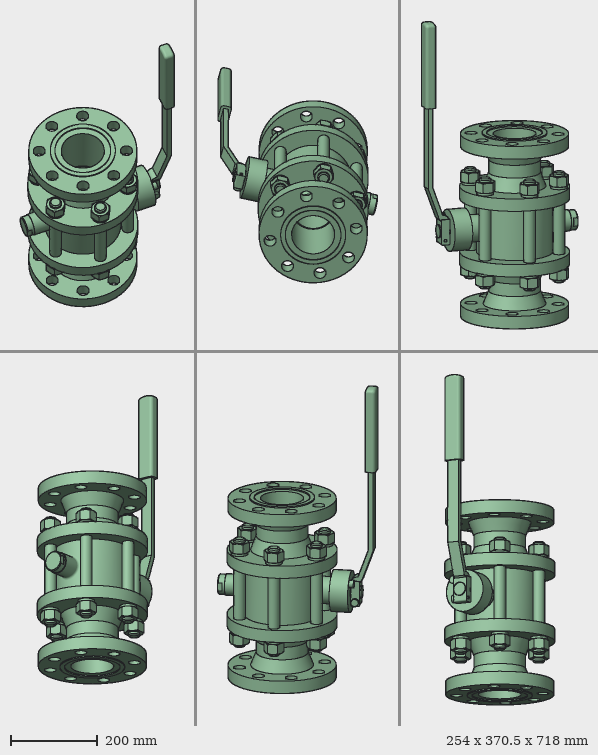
import cadquery as cq
import math


TOTAL_HEIGHT = 718.0
TOTAL_DEPTH = 370.5

FACE_HEIGHT = 220.0
RAISED_FACE = 3.0
PIPE_FLANGE_THICKNESS = 30.0
PIPE_FLANGE_DIAMETER = 250.0
RAISED_FACE_DIAMETER = 150.0
RECESS_DIAMETER = 128.5
RECESS_DEPTH = 3.0
CONE_BASE_DIAMETER = 145.0
NECK_DIAMETER = 120.0
NECK_BOTTOM = 126.0
NECK_TOP = 156.0
BODY_FLANGE_DIAMETER = 254.0
BODY_FLANGE_BOTTOM = 63.0
BODY_FLANGE_TOP = 92.5
BODY_DIAMETER = 176.5
END_BORE_DIAMETER = 99.0
BALL_BORE_DIAMETER = 95.0

BOLT_HOLE_COUNT = 8
BOLT_HOLE_DIAMETER = 27.0
BOLT_CIRCLE_RADIUS = 100.5

STUD_COUNT = 6
STUD_DIAMETER = 27.0
STUD_CIRCLE_RADIUS = 104.0
STUD_END = 131.0
STUD_CHAMFER = 3.0
WASHER_DIAMETER = 39.0
WASHER_THICKNESS = 6.0
NUT_WIDTH = 41.0
NUT_HEIGHT = 24.5
NUT_CHAMFER_ANGLE = 30.0

PLUG_DIAMETER = 50.0
PLUG_SHOULDER = 131.0
PLUG_TIP_DIAMETER = 47.5
PLUG_END = 148.0
PLUG_CHAMFER = 2.0
PLUG_FLAT_SPACING = 43.0
PLUG_FLAT_LENGTH = 11.5
BOSS_FILLET = 5.0

BONNET_DIAMETER = 98.0
BONNET_START = 119.0
BONNET_END = 162.0
BONNET_NECK_DIAMETER = 63.0
STEM_DIAMETER = 31.0
STEM_END = 187.5
STOP_PIN_DIAMETER = 18.0
STOP_PIN_X = 26.0
STOP_PIN_Z = 246.0 - FACE_HEIGHT
STOP_PIN_END = 173.0

BLOCK_WIDTH = 34.5
BLOCK_HEIGHT = 60.0
BLOCK_START = 164.0
BLOCK_END = 184.5
BLOCK_FILLET = 3.5
CLAMP_BOLT_Y = (BLOCK_START + BLOCK_END) / 2
CLAMP_BOLT_Z = -20.0
CLAMP_HOLE_DIAMETER = 6.5
CLAMP_HOLE_DEPTH = 2.0
CLAMP_HEAD_DIAMETER = 18.0
CLAMP_HEAD_HEIGHT = 6.5

GRIP_WIDTH = 42.5
GRIP_THICKNESS = 25.0
GRIP_BOTTOM = 517.0 - FACE_HEIGHT
GRIP_TOP = TOTAL_HEIGHT - FACE_HEIGHT
GRIP_CROWN = 5.0
GRIP_FILLET = 7.0
BAR_WIDTH = 29.0
BAR_THICKNESS = 11.5
BAR_Y = TOTAL_DEPTH - PLUG_END - GRIP_THICKNESS / 2
BAR_BEND_Z = 106.0
BAR_TILT = 20.0
BAR_FOOT_START = 24.5
BAR_FOOT_Z = 40.0


def y_cylinder(diameter, start, end, x=0.0, z=0.0):
    """Cylinder parallel to the stem axis, from Y = start to Y = end."""
    plane = cq.Workplane("XZ", origin=(x, start, z))
    return plane.circle(diameter / 2).extrude(start - end)


def z_cylinder(diameter, start, end):
    """Cylinder on the flow axis, from Z = start to Z = end."""
    return cq.Workplane("XY").workplane(offset=start).circle(diameter / 2).extrude(end - start)


def both_ends(upper):
    """The shape together with its mirror image below the stem axis."""
    return upper.union(upper.mirror("XY"))


def end_piece():
    """Upper half of the body with its flanges, neck, bolt holes and face recess."""
    flange_top = FACE_HEIGHT - RAISED_FACE
    flange_bottom = flange_top - PIPE_FLANGE_THICKNESS
    profile = [
        (0, 0),
        (BODY_DIAMETER / 2, 0),
        (BODY_DIAMETER / 2, BODY_FLANGE_BOTTOM),
        (BODY_FLANGE_DIAMETER / 2, BODY_FLANGE_BOTTOM),
        (BODY_FLANGE_DIAMETER / 2, BODY_FLANGE_TOP),
        (CONE_BASE_DIAMETER / 2, BODY_FLANGE_TOP),
        (NECK_DIAMETER / 2, NECK_BOTTOM),
        (NECK_DIAMETER / 2, NECK_TOP),
        (CONE_BASE_DIAMETER / 2, flange_bottom),
        (PIPE_FLANGE_DIAMETER / 2, flange_bottom),
        (PIPE_FLANGE_DIAMETER / 2, flange_top),
        (RAISED_FACE_DIAMETER / 2, flange_top),
        (RAISED_FACE_DIAMETER / 2, FACE_HEIGHT),
        (0, FACE_HEIGHT),
    ]
    piece = cq.Workplane("XZ").polyline(profile).close().revolve(360, (0, 0), (0, 1))
    bolt_holes = (
        cq.Workplane("XY")
        .workplane(offset=flange_bottom)
        .polarArray(BOLT_CIRCLE_RADIUS, 180 / BOLT_HOLE_COUNT, 360, BOLT_HOLE_COUNT)
        .circle(BOLT_HOLE_DIAMETER / 2)
        .extrude(PIPE_FLANGE_THICKNESS)
    )
    recess = z_cylinder(RECESS_DIAMETER, FACE_HEIGHT - RECESS_DEPTH, FACE_HEIGHT)
    return piece.cut(bolt_holes).cut(recess)


def nut():
    """Hexagonal nut with its base at Z = 0, flats facing X and rounded corners on both ends."""
    corner_radius = NUT_WIDTH / math.sqrt(3)
    flat_radius = NUT_WIDTH / 2
    drop = (corner_radius - flat_radius) * math.tan(math.radians(NUT_CHAMFER_ANGLE))
    hexagon = (
        cq.Workplane("XY")
        .polygon(6, 2 * corner_radius)
        .extrude(NUT_HEIGHT)
        .rotate((0, 0, 0), (0, 0, 1), 30)
    )
    envelope_profile = [
        (0, 0),
        (flat_radius, 0),
        (corner_radius, drop),
        (corner_radius, NUT_HEIGHT - drop),
        (flat_radius, NUT_HEIGHT),
        (0, NUT_HEIGHT),
    ]
    envelope = cq.Workplane("XZ").polyline(envelope_profile).close().revolve(360, (0, 0), (0, 1))
    return hexagon.intersect(envelope)


def upper_half_stud():
    """Upper half of a stud with its washer and nut, centred on the Z axis."""
    nut_base = BODY_FLANGE_TOP + WASHER_THICKNESS
    stud = z_cylinder(STUD_DIAMETER, 0, STUD_END).faces(">Z").chamfer(STUD_CHAMFER)
    washer = z_cylinder(WASHER_DIAMETER, BODY_FLANGE_TOP, nut_base)
    return stud.union(washer).union(nut().translate((0, 0, nut_base)))


def stud_positions():
    angles = [math.radians(360 / STUD_COUNT * i) for i in range(STUD_COUNT)]
    return [(STUD_CIRCLE_RADIUS * math.cos(a), STUD_CIRCLE_RADIUS * math.sin(a), 0) for a in angles]


def add_plug_boss(body):
    """Join the plain part of the plug to the body, with a fillet where the two cylinders meet."""
    joined = body.union(y_cylinder(PLUG_DIAMETER, 0, -PLUG_SHOULDER))
    reach = PLUG_DIAMETER / 2 + BOSS_FILLET
    root = cq.selectors.BoxSelector(
        (-reach, -BODY_DIAMETER / 2 - BOSS_FILLET, -reach), (reach, -PLUG_DIAMETER, reach), True
    )
    return joined.edges(root).fillet(BOSS_FILLET)


def plug_tip():
    """Chamfered end of the plug with two flats facing X."""
    tip = y_cylinder(PLUG_TIP_DIAMETER, 0, -PLUG_END).faces("<Y").chamfer(PLUG_CHAMFER)
    flat_block = cq.Workplane("XY").box(PLUG_FLAT_SPACING, 2 * PLUG_FLAT_LENGTH, PLUG_DIAMETER)
    flat_end = tip.intersect(flat_block.translate((0, -PLUG_END, 0)))
    round_part = tip.intersect(y_cylinder(PLUG_DIAMETER, 0, PLUG_FLAT_LENGTH - PLUG_END))
    return round_part.union(flat_end)


def bonnet():
    """Stem housing with its neck, the stem and the handle stop pin."""
    neck = y_cylinder(BONNET_NECK_DIAMETER, 0, BONNET_START)
    housing = y_cylinder(BONNET_DIAMETER, BONNET_START, BONNET_END)
    stem = y_cylinder(STEM_DIAMETER, BONNET_START, STEM_END)
    stop_pin = y_cylinder(STOP_PIN_DIAMETER, BONNET_START, STOP_PIN_END, STOP_PIN_X, STOP_PIN_Z)
    return neck.union(housing).union(stem).union(stop_pin)


def clamp_block():
    """Block that holds the handle on the stem, with a bolt recess at -X and a bolt head at +X."""
    depth = BLOCK_END - BLOCK_START
    block = cq.Workplane("XY").box(BLOCK_WIDTH, depth, BLOCK_HEIGHT)
    block = block.edges("|X and <Z").fillet(BLOCK_FILLET).translate((0, CLAMP_BOLT_Y, 0))
    bolt_plane = cq.Workplane("YZ", origin=(0, CLAMP_BOLT_Y, CLAMP_BOLT_Z))
    hole_plane = bolt_plane.workplane(offset=-BLOCK_WIDTH / 2)
    hole = hole_plane.circle(CLAMP_HOLE_DIAMETER / 2).extrude(CLAMP_HOLE_DEPTH)
    head_plane = bolt_plane.workplane(offset=BLOCK_WIDTH / 2)
    head = head_plane.circle(CLAMP_HEAD_DIAMETER / 2).extrude(CLAMP_HEAD_HEIGHT)
    return block.cut(hole).union(head)


def bar():
    """Flat bar: upright along the grip, then tilted in to a rounded foot on the clamp block."""
    tilt = math.tan(math.radians(BAR_TILT))
    half = BAR_THICKNESS / 2
    bend_shift = half * math.tan(math.radians(BAR_TILT / 2))
    outer_y = BAR_Y + half
    inner_y = BAR_Y - half
    outer_bend_z = BAR_BEND_Z - bend_shift
    inner_bend_z = BAR_BEND_Z + bend_shift
    block_top = BLOCK_HEIGHT / 2
    outer_end_y = outer_y - (outer_bend_z - block_top) * tilt
    inner_end_y = inner_y - (inner_bend_z - BAR_FOOT_Z) * tilt
    outline = (
        cq.Workplane("YZ", origin=(-BAR_WIDTH / 2, 0, 0))
        .moveTo(outer_y, GRIP_BOTTOM)
        .lineTo(outer_y, outer_bend_z)
        .lineTo(outer_end_y, block_top)
        .lineTo(BLOCK_END, block_top - (outer_end_y - BLOCK_END))
        .lineTo(BLOCK_END, 0)
        .lineTo(BLOCK_START, 0)
        .lineTo(BLOCK_START, BAR_FOOT_START)
        .tangentArcPoint((inner_end_y, BAR_FOOT_Z), relative=False)
        .lineTo(inner_y, inner_bend_z)
        .lineTo(inner_y, GRIP_BOTTOM)
        .close()
    )
    return outline.extrude(BAR_WIDTH)


def grip():
    """Handle grip with rounded long edges and a rounded, crowned top."""
    shoulder = GRIP_TOP - GRIP_CROWN
    outline = (
        cq.Workplane("XZ", origin=(0, BAR_Y + GRIP_THICKNESS / 2, 0))
        .moveTo(-GRIP_WIDTH / 2, GRIP_BOTTOM)
        .lineTo(GRIP_WIDTH / 2, GRIP_BOTTOM)
        .lineTo(GRIP_WIDTH / 2, shoulder)
        .threePointArc((0, GRIP_TOP), (-GRIP_WIDTH / 2, shoulder))
        .close()
    )
    blank = outline.extrude(GRIP_THICKNESS)
    return blank.edges("|Z").fillet(GRIP_FILLET).faces(">Z").edges().fillet(GRIP_FILLET)


valve = add_plug_boss(both_ends(end_piece()))
valve = valve.union(plug_tip()).union(bonnet())
stud_with_nuts = both_ends(upper_half_stud())
for position in stud_positions():
    valve = valve.union(stud_with_nuts.translate(position))
valve = valve.cut(z_cylinder(END_BORE_DIAMETER, BODY_FLANGE_TOP, FACE_HEIGHT))
valve = valve.cut(z_cylinder(END_BORE_DIAMETER, -FACE_HEIGHT, -BODY_FLANGE_TOP))
valve = valve.cut(z_cylinder(BALL_BORE_DIAMETER, -BODY_FLANGE_TOP, BODY_FLANGE_TOP))

result = valve.union(clamp_block()).union(bar()).union(grip())